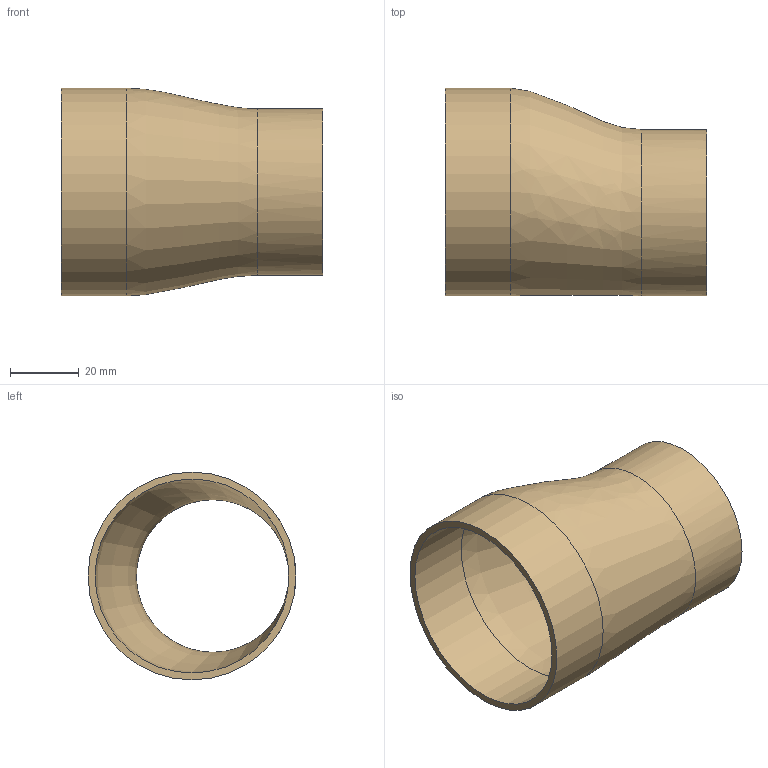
import cadquery as cq

large_diameter = 60.3
small_diameter = 48.3
wall = 2.0
length = 76.0
end_length = length / 4
transition_length = length - 2 * end_length
section_count = 9

axis_offset = -(large_diameter - small_diameter) / 2


def circle_at(x, y, diameter):
    """Circular wire in a plane across X, centred on (x, y, 0)."""
    return cq.Wire.makeCircle(diameter / 2, cq.Vector(x, y, 0), cq.Vector(1, 0, 0))


def straight_end(x, y, diameter):
    """Solid cylinder of one straight end, starting at x."""
    return cq.Solid.makeCylinder(
        diameter / 2, end_length, cq.Vector(x, y, 0), cq.Vector(1, 0, 0)
    )


def transition(start_diameter, end_diameter):
    """Solid whose circles shrink and shift along an S-curve, level at both ends."""
    sections = []
    for index in range(section_count):
        t = index / (section_count - 1)
        blend = 3 * t**2 - 2 * t**3
        x = end_length + t * transition_length
        diameter = start_diameter + blend * (end_diameter - start_diameter)
        sections.append(circle_at(x, blend * axis_offset, diameter))
    return cq.Solid.makeLoft(sections)


def reducer_body(start_diameter, end_diameter):
    """Filled reducer: large end, transition and small end joined."""
    large_end = straight_end(0, 0, start_diameter)
    small_end = straight_end(length - end_length, axis_offset, end_diameter)
    body = cq.Workplane(obj=large_end)
    return body.union(cq.Workplane(obj=transition(start_diameter, end_diameter))).union(
        cq.Workplane(obj=small_end)
    )


outside = reducer_body(large_diameter, small_diameter)
bore = reducer_body(large_diameter - 2 * wall, small_diameter - 2 * wall)
result = outside.cut(bore)